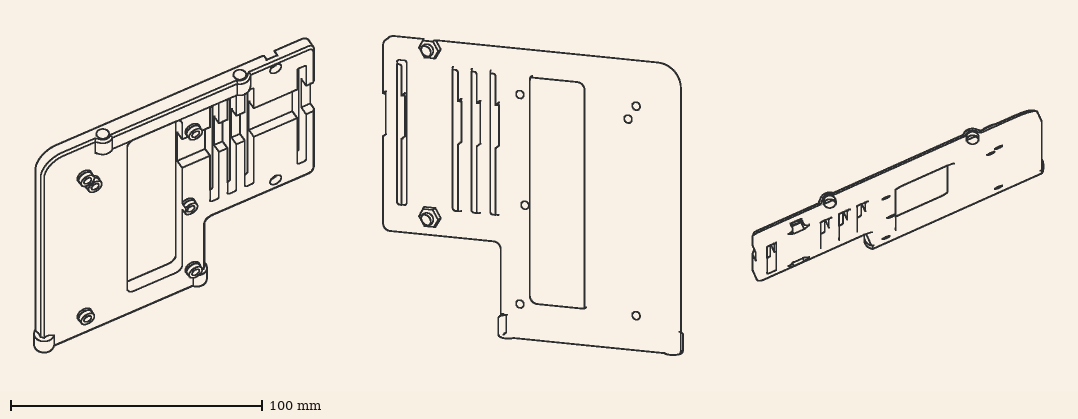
import cadquery as cq
import math

total_width = 126.2
total_height = 119.0
plate_thickness = 6.0
front_round = 1.0
back_chamfer = 1.0

plate_near_y = 1.5
leg_far_y = 76.4
arm_bottom_z = 39.3
small_corner_radius = 3.0
large_corner_radius = 10.0

bead_radius = 4.0
bead_center_x = 3.4
bead_height = 9.2
bead_top_chamfer = 1.5
bead_span = 77.8

rim_thickness = 7.5
rim_height = 8.1
bump_ys = (30.2, 92.7)
bump_center_x = 4.5
bump_radius = 4.0
bump_hole_diameter = 5.0

boss_height = 2.9
total_depth = plate_thickness + boss_height
boss_diameter = 6.0
collar_diameter = 6.3
collar_height = 1.0
screw_hole_diameter = 3.3
boss_near_y = 20.8
boss_far_y = 70.1
boss_low_z = 12.9
boss_high_z = 99.7
boss_points = [(y, z) for y in (boss_near_y, boss_far_y) for z in (boss_low_z, boss_high_z)]
boss_points += [(24.2, 94.0), (67.9, 54.0)]

window_near_y = 40.5
window_far_y = 65.5
window_bottom_z = 13.9
window_radius = 3.0

opening_top_z = 109.1
slot_bottom_z = 49.1
slot_corner_radius = 1.0
vent_width = 4.0
vent_pitch = 8.0
vent_count = 3
first_vent_y = 80.3
edge_slot_width = 4.0
edge_slot_y = 120.0

nut_y = 108.2
nut_zs = (45.2, 115.1)
nut_across_corners = 9.2
nut_depth = 3.0
nut_hole_diameter = 5.0

channel_bottom_z = 78.3
channel_top_z = 96.2
channel_depth = 4.0


def block(x_range, y_range, z_range):
    """Box given by its limits along each axis."""
    sizes = [high - low for low, high in (x_range, y_range, z_range)]
    corner = (x_range[0], y_range[0], z_range[0])
    return cq.Workplane("XY").box(*sizes, centered=False).translate(corner)


def make_plate():
    plate = (
        cq.Workplane("YZ")
        .moveTo(plate_near_y, 0)
        .lineTo(leg_far_y, 0)
        .lineTo(leg_far_y, arm_bottom_z - small_corner_radius)
        .radiusArc((leg_far_y + small_corner_radius, arm_bottom_z), small_corner_radius)
        .lineTo(total_width, arm_bottom_z)
        .lineTo(total_width, total_height)
        .lineTo(plate_near_y + large_corner_radius, total_height)
        .radiusArc((plate_near_y, total_height - large_corner_radius), -large_corner_radius)
        .close()
        .extrude(plate_thickness)
    )
    plate = plate.edges("|X").edges(">Y").fillet(small_corner_radius)
    return plate.faces(">X").edges().chamfer(back_chamfer)


def make_bead(y):
    """Upright rounded cylinder, trimmed flush with the front face and its rounded lower edge."""
    bead = cq.Workplane("XY").center(bead_center_x, y).circle(bead_radius).extrude(bead_height)
    bead = bead.faces(">Z").edges().chamfer(bead_top_chamfer)
    bead = bead.faces("<Z").edges().fillet(front_round)
    limits = block((0, total_depth), (0, total_width), (0, bead_height))
    return bead.intersect(limits.edges("<X and <Z").fillet(front_round))


def make_bump(y):
    """Half-round bump with flanks that slope into the plate at 45 degrees."""
    root_x = plate_thickness / 2
    tangent = bump_radius * math.sqrt(0.5)
    root_half_width = 2 * tangent + bump_center_x - root_x
    return (
        cq.Workplane("XY", origin=(0, y, total_height - rim_height))
        .moveTo(root_x, -root_half_width)
        .lineTo(bump_center_x + tangent, -tangent)
        .threePointArc((bump_center_x + bump_radius, 0), (bump_center_x + tangent, tangent))
        .lineTo(root_x, root_half_width)
        .close()
        .extrude(rim_height)
        .faces(">Z")
        .edges("not <X")
        .chamfer(back_chamfer)
    )


def make_rim():
    z_range = (total_height - rim_height, total_height)
    rim = block((plate_thickness / 2, rim_thickness), bump_ys, z_range)
    rim = rim.edges(">X and >Z").chamfer(back_chamfer)
    for y in bump_ys:
        rim = rim.union(make_bump(y))
    return rim


def make_boss(y, z):
    """Boss standing on the back face, with a slightly wider collar at its foot."""
    base = cq.Workplane("YZ", origin=(plate_thickness, y, z))
    boss = base.circle(boss_diameter / 2).extrude(boss_height)
    collar = base.circle(collar_diameter / 2).extrude(collar_height)
    return boss.union(collar)


def opening_cutter(y_range, z_range, radius):
    """Rounded rectangle that passes through plate and bosses."""
    return block((0, total_depth), y_range, z_range).edges("|X").fillet(radius)


def slot_cutter(center_y, width):
    """Upright slot of the common slot height."""
    y_range = (center_y - width / 2, center_y + width / 2)
    return opening_cutter(y_range, (slot_bottom_z, opening_top_z), slot_corner_radius)


def hole_cutter(diameter, y, z):
    return cq.Workplane("YZ", origin=(0, y, z)).circle(diameter / 2).extrude(total_depth)


def make_nut_pocket(z):
    pocket = cq.Workplane("YZ", origin=(0, nut_y, z)).polygon(6, nut_across_corners).extrude(nut_depth)
    return pocket.union(hole_cutter(nut_hole_diameter, nut_y, z))


def make_bump_hole(y):
    origin = (bump_center_x, y, total_height - rim_height)
    return cq.Workplane("XY", origin=origin).circle(bump_hole_diameter / 2).extrude(rim_height)


def make_channel():
    x_range = (plate_thickness - channel_depth, plate_thickness)
    y_range = (window_far_y - window_radius, total_width)
    return block(x_range, y_range, (channel_bottom_z, channel_top_z))


window = opening_cutter((window_near_y, window_far_y), (window_bottom_z, opening_top_z), window_radius)
result = make_plate().cut(window)
for index in range(vent_count):
    result = result.cut(slot_cutter(first_vent_y + index * vent_pitch, vent_width))
result = result.faces("<X").edges().fillet(front_round)

for y in (bead_radius, bead_span - bead_radius):
    result = result.union(make_bead(y))
result = result.union(make_rim())
for y, z in boss_points:
    result = result.union(make_boss(y, z))
result = result.cut(window)

result = result.cut(slot_cutter(edge_slot_y, edge_slot_width))
for y, z in boss_points:
    result = result.cut(hole_cutter(screw_hole_diameter, y, z))
for z in nut_zs:
    result = result.cut(make_nut_pocket(z))
for y in bump_ys:
    result = result.cut(make_bump_hole(y))
result = result.cut(make_channel())